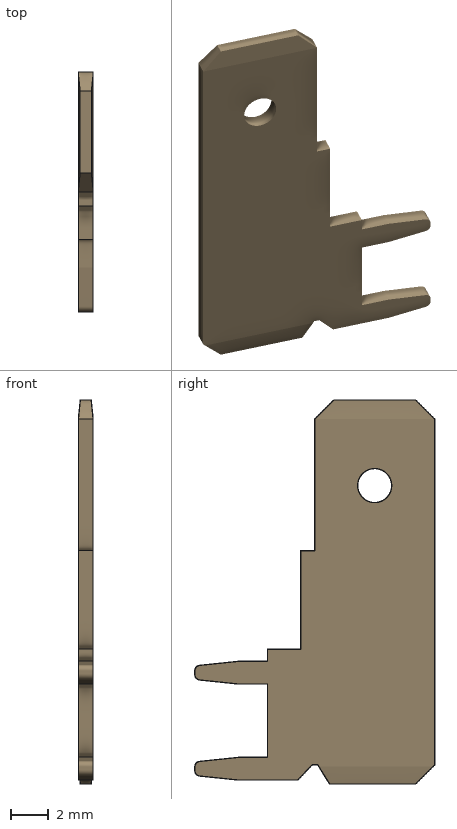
import cadquery as cq

thickness = 0.8
height = 20.32
length = 12.7

blade_width = 6.35
corner_cut = 1.02

step_reach = 7.1
step_height = 12.35
shoulder_reach = 8.85
shoulder_height = 7.13

pin_width = 1.22
pin_tip_width = 0.73
pin_taper_start = 10.36
pin_tip_radius = 0.3
upper_pin_center = 5.9
lower_pin_center = 0.81
pin_underside = lower_pin_center - pin_width / 2

foot_end = 5.57
notch_height = 1.02
notch_start = 6.2
notch_end = 6.48
notch_foot = 7.25

hole_diameter = 1.79
hole_reach = blade_width / 2
hole_height = 15.79

bevel_depth = 0.1
top_bevel_height = 1.02
foot_bevel_height = 0.91


def pin(center):
    """Tapered pin with rounded tip corners, rooted on the shoulder edge."""
    half_root = pin_width / 2
    half_tip = pin_tip_width / 2
    outline = [
        (shoulder_reach, center - half_root),
        (pin_taper_start, center - half_root),
        (length, center - half_tip),
        (length, center + half_tip),
        (pin_taper_start, center + half_root),
        (shoulder_reach, center + half_root),
    ]
    tapered = extrude_outline(outline)
    return tapered.edges("|X").edges("<Y").fillet(pin_tip_radius)


def extrude_outline(outline):
    """Sheet of full thickness, centered on X = 0, with its back edge at Y = 0."""
    points = [(-reach, z) for reach, z in outline]
    return cq.Workplane("YZ").polyline(points).close().extrude(thickness / 2, both=True)


def bevel_cutter(edge_height, bevel_start, side, end_reach):
    """Wedge that thins one face from bevel_start to the edge, from Y = 0 to end_reach."""
    face = side * thickness / 2
    wedge = [
        (face, bevel_start),
        (face, edge_height),
        (face - side * bevel_depth, edge_height),
    ]
    return cq.Workplane("XZ").polyline(wedge).close().extrude(end_reach)


body = extrude_outline([
    (corner_cut, 0),
    (foot_end, 0),
    (notch_start, notch_height),
    (notch_end, notch_height),
    (notch_foot, pin_underside),
    (shoulder_reach, pin_underside),
    (shoulder_reach, shoulder_height),
    (step_reach, shoulder_height),
    (step_reach, step_height),
    (blade_width, step_height),
    (blade_width, height - corner_cut),
    (blade_width - corner_cut, height),
    (corner_cut, height),
    (0, height - corner_cut),
    (0, corner_cut),
])

for pin_center in (lower_pin_center, upper_pin_center):
    body = body.union(pin(pin_center))

hole = (
    cq.Workplane("YZ")
    .center(-hole_reach, hole_height)
    .circle(hole_diameter / 2)
    .extrude(thickness, both=True)
)
body = body.cut(hole)

for side in (-1, 1):
    body = body.cut(bevel_cutter(height, height - top_bevel_height, side, blade_width))
    body = body.cut(bevel_cutter(0, foot_bevel_height, side, notch_start))

result = body.clean()